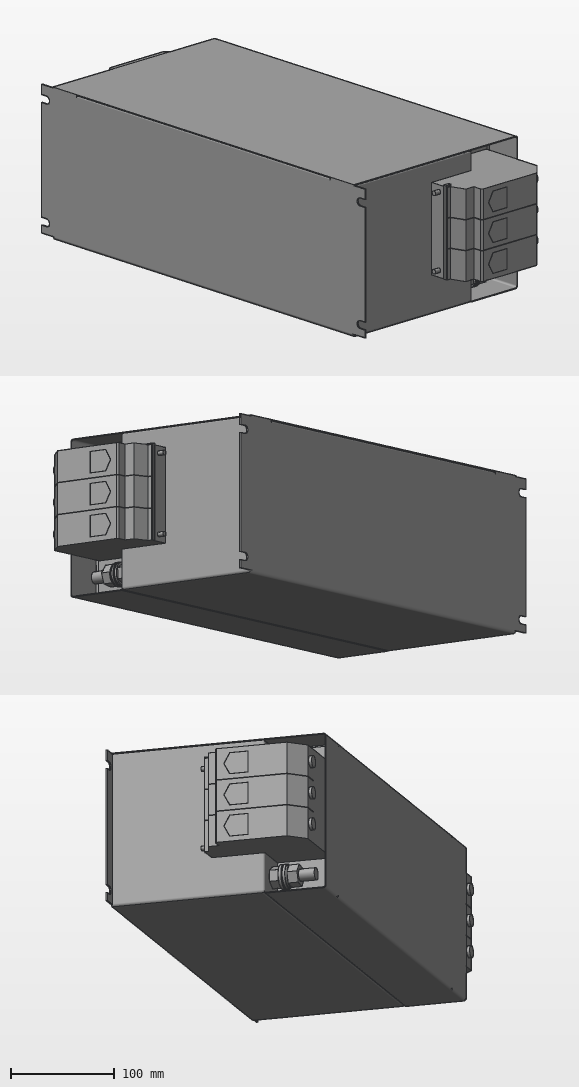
import cadquery as cq
import math

HOUSING_LENGTH = 418.8
HOUSING_DEPTH = 219.1
HOUSING_HEIGHT = 155.0
SHEET = 1.0
COVER_BEND_RADIUS = 3.0
SIDE_BEND_RADIUS = 2.0

HALF_LENGTH = HOUSING_LENGTH / 2

PLATE_LENGTH = 450.0
PLATE_THICKNESS = 1.5
PLATE_BOTTOM = COVER_BEND_RADIUS
PLATE_TOP = HOUSING_HEIGHT - SHEET
FOLD_SIZE = 2.5
SLOT_WIDTH = 8.0
SLOT_DEPTH = 11.0
SLOT_HEIGHTS = (15.0, 139.5)

FRONT_TAB_HALF_LENGTH = 176.5
FRONT_TAB_DEPTH = 10.5
TAB_GAP = 0.5
END_TAB_WIDTH = 51.0

SIDE_SHEET = 1.2
RECESS_FRONT = 157.0
RECESS_DEPTH = 36.5
RECESS_REAR = HOUSING_DEPTH - SHEET
RECESS_FLOOR = HALF_LENGTH - RECESS_DEPTH
FLOOR_BEND_RADIUS = 2.8

MODULE_COUNT = 3
MODULE_PITCH = 31.3
BLOCK_BOTTOM = 40.3
BLOCK_HEIGHT = MODULE_COUNT * MODULE_PITCH
BLOCK_TOP = BLOCK_BOTTOM + BLOCK_HEIGHT
BLOCK_OUTER = 259.75
BLOCK_REAR = 212.3
BLOCK_FRONT = 103.0
BLOCK_CHAMFER = 16.0
LIP_FRONT = 123.0
LIP_BEVEL = 1.8
STEP_OUTER = 248.4
STEP_FRONT = 112.3
FOOT_OUTER = 232.6
FOOT_REAR = 107.0
SEAM_WIDTH = 0.3
SEAM_DEPTH = 0.4

ENTRY_REAR = 156.7
ENTRY_SHOULDER = 138.0
ENTRY_TIP = 132.0
ENTRY_WIDTH = 21.0
ENTRY_DEPTH = 0.3

SCREW_HEAD_DIAMETER = 12.0
SCREW_HEAD_X = 235.8
SCREW_HEAD_RAISE = 1.0
SCREW_HEAD_END = 215.3

CLIP_INNER = 227.5
CLIP_OUTER = 231.0
CLIP_FRONT = 102.4
CLIP_REAR = 109.5
CLIP_RISE = 1.4
PIN_DIAMETER = 4.7
PIN_X = 220.7
PIN_END = 96.3
PIN_HEIGHTS = (47.4, 127.0)

STUD_X = 192.0
STUD_Z = 19.9
STUD_DIAMETER = 12.0
STUD_END = 203.0
HEX_SIDES = 6
HEX_DIAMETER = 21.9
HEAD_START = 158.5
HEAD_END = 168.0
HEAD_ANGLE = 27.0
WASHER_DIAMETER = 24.0
LUG_DIAMETER = 22.0
WASHER_END = 171.0
LUG_END = 172.0
SECOND_WASHER_END = 175.0
SPRING_WASHER_DIAMETER = 22.0
SPRING_WASHER_END = 176.8
NUT_END = 187.0
NUT_ANGLE = 8.0


def block(x_range, y_range, z_range):
    """Axis-aligned box from its X, Y and Z limits."""
    (x0, x1), (y0, y1), (z0, z1) = x_range, y_range, z_range
    return cq.Workplane("XY").box(x1 - x0, y1 - y0, z1 - z0, centered=False).translate((x0, y0, z0))


def rod(x, z, diameter, y_start, y_end):
    """Cylinder with its axis along Y."""
    return (
        cq.Workplane("XZ", origin=(x, y_start, z))
        .circle(diameter / 2)
        .extrude(y_start - y_end)
    )


def hexagon(x, z, angle, y_start, y_end):
    """Hexagonal prism along Y with its first corner at the given angle above +X."""
    corners = []
    for corner in range(HEX_SIDES):
        turn = math.radians(angle + 360 / HEX_SIDES * corner)
        corners.append((HEX_DIAMETER / 2 * math.cos(turn), HEX_DIAMETER / 2 * math.sin(turn)))
    return (
        cq.Workplane("XZ", origin=(x, y_start, z))
        .polyline(corners)
        .close()
        .extrude(y_start - y_end)
    )


def both_ends(shape):
    """The shape at the +X end together with its mirror image at the -X end."""
    return shape.union(shape.mirror("YZ"))


def make_housing():
    """Solid envelope: the rear cover and the slightly wider front part with its bent sides."""
    cover = block((-HALF_LENGTH, HALF_LENGTH), (RECESS_FRONT, HOUSING_DEPTH), (0, HOUSING_HEIGHT))
    cover = cover.edges("|X and >Y").fillet(COVER_BEND_RADIUS)
    top = block((-HALF_LENGTH, HALF_LENGTH), (0, RECESS_FRONT), (PLATE_TOP, HOUSING_HEIGHT))
    side_outer = HALF_LENGTH + SIDE_SHEET
    sides = block((-side_outer, side_outer), (0, RECESS_FRONT), (0, PLATE_TOP))
    sides = sides.edges("|Z and >Y").fillet(SIDE_BEND_RADIUS)
    sides = sides.edges("|X and <Y and <Z").fillet(COVER_BEND_RADIUS)
    sides = sides.edges("|Y and <Z").fillet(COVER_BEND_RADIUS)
    sides = sides.edges("|Y and >Z").fillet(SIDE_BEND_RADIUS)
    return cover.union(top).union(sides)


def cover_inside(half_length):
    """Inside of the folded cover, with its bends rounded to keep the sheet thickness."""
    inside = block(
        (-half_length, half_length),
        (PLATE_THICKNESS, HOUSING_DEPTH - SHEET),
        (SHEET, HOUSING_HEIGHT - SHEET),
    )
    inside = inside.edges("|X and >Y").fillet(COVER_BEND_RADIUS - SHEET)
    return inside.edges("|X and <Y and <Z").fillet(COVER_BEND_RADIUS - SHEET)


def make_cavity():
    """Hollow inside of the housing, less the recess walls and the tabs under the top cover."""
    inner_half = HALF_LENGTH - SHEET
    inner_top = HOUSING_HEIGHT - SHEET
    cavity = cover_inside(inner_half)
    recess_wall = block(
        (RECESS_FLOOR - SHEET, HALF_LENGTH),
        (RECESS_FRONT - SHEET, HOUSING_DEPTH),
        (0, HOUSING_HEIGHT),
    )
    bend_size = FLOOR_BEND_RADIUS + SHEET
    floor_bend = block(
        (RECESS_FLOOR - bend_size, RECESS_FLOOR),
        (RECESS_REAR - bend_size, RECESS_REAR),
        (0, HOUSING_HEIGHT),
    )
    recess_wall = recess_wall.union(floor_bend)
    tab_heights = (inner_top - SHEET, inner_top)
    end_tab = block((HALF_LENGTH - END_TAB_WIDTH, HALF_LENGTH), (0, RECESS_REAR), tab_heights)
    front_tab_clearance = block(
        (0, FRONT_TAB_HALF_LENGTH + TAB_GAP),
        (0, FRONT_TAB_DEPTH + TAB_GAP),
        tab_heights,
    )
    end_tab = end_tab.cut(front_tab_clearance)
    front_tab = block((-FRONT_TAB_HALF_LENGTH, FRONT_TAB_HALF_LENGTH), (0, FRONT_TAB_DEPTH), tab_heights)
    return cavity.cut(both_ends(recess_wall)).cut(both_ends(end_tab)).cut(front_tab)


def make_recess():
    """Recess at the +X end, with the bent rear corner of its floor standing clear of the cover."""
    recess = block(
        (RECESS_FLOOR, HALF_LENGTH + 2 * SIDE_SHEET),
        (RECESS_FRONT, RECESS_REAR),
        (SHEET, HOUSING_HEIGHT - SHEET),
    )
    corner = block(
        (RECESS_FLOOR - FLOOR_BEND_RADIUS, RECESS_FLOOR),
        (RECESS_REAR - FLOOR_BEND_RADIUS, RECESS_REAR),
        (SHEET, HOUSING_HEIGHT - SHEET),
    )
    bend = (
        cq.Workplane("XY")
        .center(RECESS_FLOOR - FLOOR_BEND_RADIUS, RECESS_REAR - FLOOR_BEND_RADIUS)
        .circle(FLOOR_BEND_RADIUS)
        .extrude(HOUSING_HEIGHT)
    )
    return recess.union(corner.cut(bend)).intersect(cover_inside(HALF_LENGTH + 2 * SIDE_SHEET))


def make_mounting_plate():
    """Front plate with open-ended mounting slots and a rounded fold along its top."""
    half = PLATE_LENGTH / 2
    plate = block((-half, half), (0, PLATE_THICKNESS), (PLATE_BOTTOM, PLATE_TOP))
    fold = block(
        (-FRONT_TAB_HALF_LENGTH, FRONT_TAB_HALF_LENGTH),
        (0, FOLD_SIZE),
        (PLATE_TOP - FOLD_SIZE, PLATE_TOP),
    )
    plate = plate.cut(fold).union(fold.edges("|X and <Y and >Z").fillet(SIDE_BEND_RADIUS))
    for height in SLOT_HEIGHTS:
        round_centre = half - SLOT_DEPTH + SLOT_WIDTH / 2
        slot = block(
            (round_centre, half),
            (0, PLATE_THICKNESS),
            (height - SLOT_WIDTH / 2, height + SLOT_WIDTH / 2),
        )
        slot = slot.union(rod(round_centre, height, SLOT_WIDTH, 0, PLATE_THICKNESS))
        plate = plate.cut(both_ends(slot))
    return plate


def block_outline():
    """Plan outline of the terminal block, from the recess floor outwards."""
    return (
        cq.Workplane("XY", origin=(0, 0, BLOCK_BOTTOM))
        .moveTo(RECESS_FLOOR, BLOCK_REAR)
        .lineTo(BLOCK_OUTER - BLOCK_CHAMFER, BLOCK_REAR)
        .lineTo(BLOCK_OUTER, BLOCK_REAR - BLOCK_CHAMFER)
        .lineTo(BLOCK_OUTER, LIP_FRONT + LIP_BEVEL)
        .lineTo(BLOCK_OUTER - LIP_BEVEL, LIP_FRONT)
        .lineTo(STEP_OUTER, LIP_FRONT)
        .lineTo(STEP_OUTER, STEP_FRONT)
        .lineTo(FOOT_OUTER, FOOT_REAR)
        .lineTo(FOOT_OUTER, BLOCK_FRONT)
        .lineTo(HALF_LENGTH, BLOCK_FRONT)
        .lineTo(HALF_LENGTH, RECESS_FRONT)
        .lineTo(RECESS_FLOOR, RECESS_FRONT)
        .close()
    )


def make_cable_entry(centre_z):
    """Shallow pointed recess marking the cable entry of one module."""
    half = ENTRY_WIDTH / 2
    return (
        cq.Workplane("YZ", origin=(BLOCK_OUTER - ENTRY_DEPTH, 0, centre_z))
        .moveTo(ENTRY_REAR, -half)
        .lineTo(ENTRY_SHOULDER, -half)
        .lineTo(ENTRY_TIP, 0)
        .lineTo(ENTRY_SHOULDER, half)
        .lineTo(ENTRY_REAR, half)
        .close()
        .extrude(2 * ENTRY_DEPTH)
    )


def make_terminal_block():
    """Terminal block at the +X end with its seams, cable entries, screw heads, clip and pins."""
    terminal = block_outline().extrude(BLOCK_HEIGHT)
    core = block_outline().offset2D(-SEAM_DEPTH).extrude(BLOCK_HEIGHT)
    outside = block_outline().extrude(BLOCK_HEIGHT).cut(core)
    for module in range(MODULE_COUNT):
        module_bottom = BLOCK_BOTTOM + module * MODULE_PITCH
        centre_z = module_bottom + MODULE_PITCH / 2
        if module > 0:
            seam = block(
                (CLIP_INNER, BLOCK_OUTER),
                (BLOCK_FRONT, BLOCK_REAR),
                (module_bottom - SEAM_WIDTH / 2, module_bottom + SEAM_WIDTH / 2),
            )
            terminal = terminal.cut(seam.intersect(outside))
        terminal = terminal.cut(make_cable_entry(centre_z))
        screw_z = centre_z + SCREW_HEAD_RAISE
        terminal = terminal.union(rod(SCREW_HEAD_X, screw_z, SCREW_HEAD_DIAMETER, BLOCK_REAR, SCREW_HEAD_END))
    clip = block((CLIP_INNER, CLIP_OUTER), (CLIP_FRONT, CLIP_REAR), (BLOCK_BOTTOM, BLOCK_TOP + CLIP_RISE))
    terminal = terminal.union(clip)
    for height in PIN_HEIGHTS:
        terminal = terminal.union(rod(PIN_X, height, PIN_DIAMETER, BLOCK_FRONT, PIN_END))
    return terminal


def make_earthing_stud():
    """Threaded stud at the +X end with its head, washers, lug and nut."""
    stud = rod(STUD_X, STUD_Z, STUD_DIAMETER, RECESS_FRONT, STUD_END)
    stud = stud.union(hexagon(STUD_X, STUD_Z, HEAD_ANGLE, HEAD_START, HEAD_END))
    stud = stud.union(rod(STUD_X, STUD_Z, WASHER_DIAMETER, HEAD_END, WASHER_END))
    stud = stud.union(rod(STUD_X, STUD_Z, LUG_DIAMETER, WASHER_END, LUG_END))
    stud = stud.union(rod(STUD_X, STUD_Z, WASHER_DIAMETER, LUG_END, SECOND_WASHER_END))
    stud = stud.union(rod(STUD_X, STUD_Z, SPRING_WASHER_DIAMETER, SECOND_WASHER_END, SPRING_WASHER_END))
    return stud.union(hexagon(STUD_X, STUD_Z, NUT_ANGLE, SPRING_WASHER_END, NUT_END))


housing = make_housing().cut(both_ends(make_recess())).cut(make_cavity())
result = (
    housing.union(make_mounting_plate())
    .union(both_ends(make_terminal_block()))
    .union(both_ends(make_earthing_stud()))
)